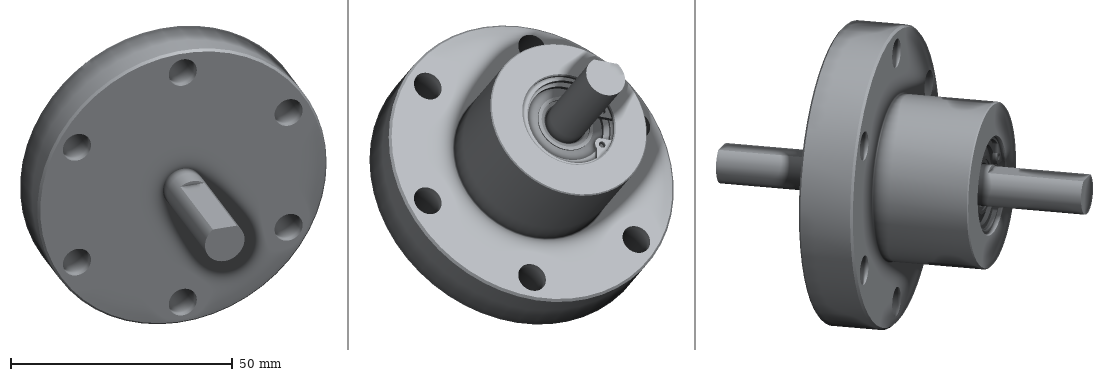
import cadquery as cq


shaft_length = 86.1
shaft_diameter = 9.5
flat_height = 3.8
left_flat_length = 22.5
right_flat_length = 22.0

barrel_start = 22.4
flange_start = 44.95
flange_end = 57.7
barrel_diameter = 38.1
flange_diameter = 69.3
barrel_chamfer = 0.3
flange_chamfer = 0.5
root_fillet = 0.35
bolt_hole_diameter = 6.7
bolt_circle_diameter = 58.55
bolt_count = 6
mouth_diameter = 22.2
mouth_chamfer = 0.3

ring_setback = 0.95
ring_thickness = 1.0
ring_diameter = 23.4
ring_opening_diameter = 20.7
ring_opening_shift = 0.6
ring_half_gap = 2.75
lug_hole_diameter = 1.55
lug_hole_y = -8.4
lug_hole_z = 4.3
lug_nose_diameter = 3.45
lug_neck_y = -7.2
lug_neck_height = 8.6
neck_fillet = 0.5

bearing_diameter = 21.8
bearing_width = 7.15
outer_land_outside = 21.1
outer_land_inside = 18.4
lip_outside = 13.35
lip_inside = 11.7
inner_land_inside = 10.1
shield_outer_depth = 1.0
shield_inner_depth = 0.35
inner_land_depth = 0.35

ring_start = barrel_start + ring_setback
bearing_start = ring_start + ring_thickness
bearing_end = bearing_start + bearing_width


def cylinder(diameter, start, end):
    """Solid cylinder on the X axis between two x positions."""
    return cq.Workplane("YZ", origin=(start, 0, 0)).circle(diameter / 2).extrude(end - start)


def make_shaft():
    shaft = cylinder(shaft_diameter, 0, shaft_length)
    flats = (
        (0, left_flat_length),
        (shaft_length - right_flat_length, right_flat_length),
    )
    for start, length in flats:
        cutter = cq.Workplane("XY", origin=(start, 0, flat_height)).box(
            length, shaft_diameter, shaft_diameter, centered=(False, True, False)
        )
        shaft = shaft.cut(cutter)
    return shaft


def make_housing_blank():
    """Outside of the housing, with its edges broken but no holes."""
    barrel = cylinder(barrel_diameter, barrel_start, flange_start)
    barrel = barrel.faces("<X").chamfer(barrel_chamfer)
    flange = cylinder(flange_diameter, flange_start, flange_end)
    flange = flange.edges("%CIRCLE").chamfer(flange_chamfer)
    blank = barrel.union(flange)
    front_plane = cq.selectors.BoxSelector(
        (flange_start - root_fillet, -root_fillet, -root_fillet),
        (flange_start + root_fillet, root_fillet, root_fillet),
    )
    root = blank.edges("%CIRCLE").edges(front_plane).edges(cq.selectors.RadiusNthSelector(0))
    return root.fillet(root_fillet)


def make_bolt_holes():
    return (
        cq.Workplane("YZ", origin=(flange_start, 0, 0))
        .polarArray(bolt_circle_diameter / 2, 90, 360, bolt_count)
        .circle(bolt_hole_diameter / 2)
        .extrude(flange_end - flange_start)
    )


def make_housing():
    mouth = cylinder(mouth_diameter, barrel_start, bearing_start)
    groove = cylinder(ring_diameter, ring_start, bearing_start)
    seat = cylinder(bearing_diameter, bearing_start, bearing_end)
    shaft_hole = cylinder(shaft_diameter, bearing_end, flange_end)
    housing = make_housing_blank().cut(mouth)
    housing = housing.faces("<X").edges(cq.selectors.RadiusNthSelector(0)).chamfer(mouth_chamfer)
    for cutter in (groove, seat, shaft_hole, make_bolt_holes()):
        housing = housing.cut(cutter)
    return housing


def make_ring():
    """Internal retaining ring, open on its -Y side between two drilled lugs."""
    plane = cq.Workplane("YZ", origin=(ring_start, 0, 0))
    lug_nose_end = lug_hole_z + lug_nose_diameter / 2
    disc = plane.circle(ring_diameter / 2).extrude(ring_thickness)
    opening = plane.center(-ring_opening_shift, 0).circle(ring_opening_diameter / 2).extrude(ring_thickness)
    ring = disc.cut(opening)

    for side in (1, -1):
        lug = (
            plane.moveTo(-ring_diameter / 2, side * ring_half_gap)
            .lineTo(lug_hole_y, side * ring_half_gap)
            .lineTo(lug_hole_y, side * lug_hole_z)
            .lineTo(lug_neck_y, side * lug_hole_z)
            .lineTo(lug_neck_y, side * lug_neck_height)
            .lineTo(-ring_diameter / 2, side * lug_neck_height)
            .close()
            .extrude(ring_thickness)
        )
        ring = ring.union(lug.intersect(disc))
    for low, high in ((lug_nose_end, lug_neck_height), (-lug_neck_height, -lug_nose_end)):
        neck_corner = cq.selectors.BoxSelector(
            (ring_start, lug_neck_y - neck_fillet, low),
            (bearing_start, lug_neck_y + neck_fillet, high),
        )
        ring = ring.edges("|X").edges(neck_corner).fillet(neck_fillet)

    lug_centres = plane.pushPoints([(lug_hole_y, lug_hole_z), (lug_hole_y, -lug_hole_z)])
    ring = ring.union(lug_centres.circle(lug_nose_diameter / 2).extrude(ring_thickness))
    ring = ring.cut(lug_centres.circle(lug_hole_diameter / 2).extrude(ring_thickness))

    gap = plane.center(-ring_diameter / 2, 0).rect(ring_diameter, 2 * ring_half_gap).extrude(ring_thickness)
    return ring.cut(gap)


def make_bearing():
    outer_chamfer = (bearing_diameter - outer_land_outside) / 2
    bore_chamfer = (inner_land_inside - shaft_diameter) / 2
    face_steps = [
        (inner_land_depth + bore_chamfer, shaft_diameter),
        (inner_land_depth, inner_land_inside),
        (inner_land_depth, lip_inside),
        (0, lip_inside),
        (0, lip_outside),
        (shield_inner_depth, lip_outside),
        (shield_outer_depth, outer_land_inside),
        (0, outer_land_inside),
        (0, outer_land_outside),
        (outer_chamfer, bearing_diameter),
    ]
    front = [(bearing_start + depth, diameter / 2) for depth, diameter in face_steps]
    back = [(bearing_end - depth, diameter / 2) for depth, diameter in reversed(face_steps)]
    section = cq.Workplane("XY").polyline(front + back).close()
    return section.revolve(360, (0, 0, 0), (1, 0, 0))


shaft = make_shaft()
housing = make_housing()
retaining_ring = make_ring()
bearing = make_bearing()

result = cq.Compound.makeCompound([shaft.val(), housing.val(), retaining_ring.val(), bearing.val()])